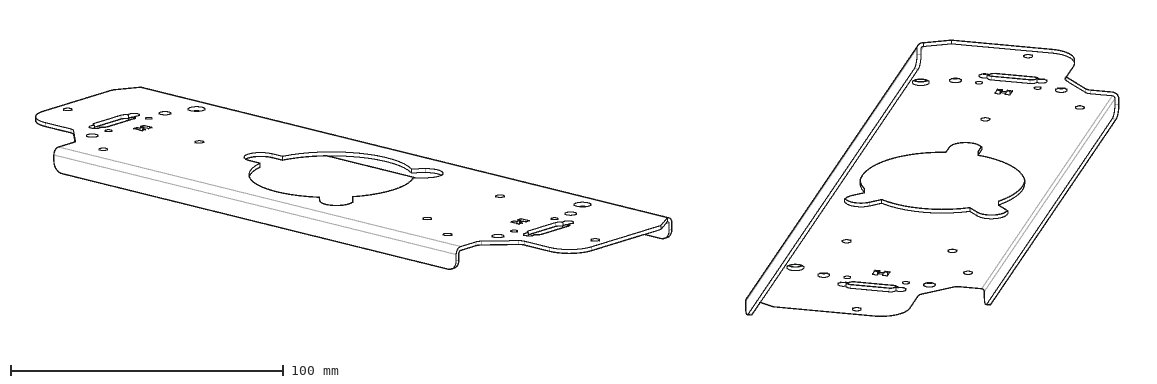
import cadquery as cq

LENGTH = 270.0
WIDTH = 84.0
HEIGHT = 9.0
SHEET = 1.5
INNER_BEND = 1.0
OUTER_BEND = INNER_BEND + SHEET

REAR_FLANGE_LENGTH = 260.0
FRONT_FLANGE_LENGTH = 198.2
REAR_CHAMFER_DEPTH = 9.2
EAR_FRONT_Y = -18.5
EAR_RADIUS = 10.8
SHOULDER_SLOPE_RUN = 11.3
SHOULDER_RADIUS = 3.0
FLANGE_CORNER_RADIUS = 4.0

PICK_MARGIN = 0.3

OPENING_DIAMETER = 60.5
LOBE_WIDTH = 12.2
LOBE_REACH = 34.8
LOBE_ANGLES = (45, 180, 315)

MIRRORED_HOLES = (
    (6.2, ((95.0, 31.9),)),
    (4.3, ((100.0, 20.0), (100.0, -20.0))),
    (2.55, ((100.0, 11.0), (100.0, -11.0))),
    (3.2, ((130.0, 0), (84.8, -30.8))),
)

MOUNT_DIAMETER = 3.2
MOUNT_X = 65.0
MOUNT_Y = 20.0
MOUNT_POINTS = ((-MOUNT_X, 0), (MOUNT_X, MOUNT_Y), (MOUNT_X, -MOUNT_Y))

SLOT_X = 107.0
SLOT_WIDTH = 6.5
SLOT_LENGTH = 19.0
SLOT_CORNER_RADIUS = 2.2
RELIEF_RADIUS = 2.0
RELIEF_Y = 10.8

H_X = 93.0
H_WIDTH = 4.0
H_LENGTH = 5.7
H_BAR = 2.0
H_WEB = 1.4


def bent_sheet():
    """Full-length channel: a flat web with both long edges bent down."""
    outer = (
        cq.Workplane("XY")
        .box(LENGTH, WIDTH, HEIGHT, centered=(True, True, False))
        .edges("|X and >Z")
        .fillet(OUTER_BEND)
    )
    inner = (
        cq.Workplane("XY")
        .box(LENGTH, WIDTH - 2 * SHEET, HEIGHT - SHEET, centered=(True, True, False))
        .edges("|X and >Z")
        .fillet(INNER_BEND)
    )
    return outer.cut(inner)


def round_upright_edges(body, x, y, radius):
    """Fillet the vertical edges standing at (x, y) and (-x, y)."""
    for edge_x in (x, -x):
        near = (edge_x - PICK_MARGIN, y - PICK_MARGIN, 0)
        far = (edge_x + PICK_MARGIN, y + PICK_MARGIN, HEIGHT)
        body = body.edges(cq.selectors.BoxSelector(near, far)).edges("|Z").fillet(radius)
    return body


def plan_prism():
    """Vertical prism whose outline trims the channel to shape."""
    end_x = LENGTH / 2
    edge_y = WIDTH / 2
    rear_x = REAR_FLANGE_LENGTH / 2
    front_x = FRONT_FLANGE_LENGTH / 2
    bend_y = edge_y - OUTER_BEND
    ear_x = front_x + SHOULDER_SLOPE_RUN
    slope_end_y = EAR_FRONT_Y - SHOULDER_SLOPE_RUN
    right_side = [
        (rear_x, edge_y),
        (rear_x, bend_y),
        (end_x, bend_y - REAR_CHAMFER_DEPTH),
        (end_x, EAR_FRONT_Y),
        (ear_x, EAR_FRONT_Y),
        (front_x, slope_end_y),
        (front_x, -edge_y),
    ]
    left_side = [(-x, y) for x, y in reversed(right_side)]
    prism = cq.Workplane("XY").polyline(right_side + left_side).close().extrude(HEIGHT)

    prism = round_upright_edges(prism, end_x, EAR_FRONT_Y, EAR_RADIUS)
    prism = round_upright_edges(prism, ear_x, EAR_FRONT_Y, SHOULDER_RADIUS)
    return round_upright_edges(prism, front_x, slope_end_y, SHOULDER_RADIUS)


def flange_envelope():
    """Block whose edge slabs round the lower corners of each flange."""
    web_width = WIDTH - 2 * OUTER_BEND
    envelope = cq.Workplane("XY").box(LENGTH, web_width, HEIGHT, centered=(True, True, False))
    middle_y = (WIDTH - OUTER_BEND) / 2
    for length, y in ((REAR_FLANGE_LENGTH, middle_y), (FRONT_FLANGE_LENGTH, -middle_y)):
        slab = (
            cq.Workplane("XY")
            .box(length, OUTER_BEND, HEIGHT, centered=(True, True, False))
            .edges("|Y and <Z")
            .fillet(FLANGE_CORNER_RADIUS)
            .translate((0, y, 0))
        )
        envelope = envelope.union(slab)
    return envelope


def central_opening():
    """Round opening joined to its radial lobes."""
    tool = cq.Workplane("XY").circle(OPENING_DIAMETER / 2).extrude(HEIGHT)
    lobe = (
        cq.Workplane("XY")
        .center(LOBE_REACH / 2, 0)
        .slot2D(LOBE_REACH + LOBE_WIDTH, LOBE_WIDTH)
        .extrude(HEIGHT)
    )
    for angle in LOBE_ANGLES:
        tool = tool.union(lobe.rotate((0, 0, 0), (0, 0, 1), angle))
    return tool


def round_holes(diameter, points):
    """Cutting cylinders at the given points."""
    return cq.Workplane("XY").pushPoints(points).circle(diameter / 2).extrude(HEIGHT)


def relieved_slot(x):
    """Slot along Y with a smaller round bulge at each end."""
    slot = (
        cq.Workplane("XY")
        .center(x, 0)
        .rect(SLOT_WIDTH, SLOT_LENGTH)
        .extrude(HEIGHT)
        .edges("|Z")
        .fillet(SLOT_CORNER_RADIUS)
    )
    return slot.union(round_holes(2 * RELIEF_RADIUS, [(x, RELIEF_Y), (x, -RELIEF_Y)]))


def h_cutout(x):
    """Two bars along X joined by a narrow web along Y."""
    bar_y = (H_LENGTH - H_BAR) / 2
    web = cq.Workplane("XY").center(x, 0).rect(H_WEB, H_LENGTH).extrude(HEIGHT)
    bars = (
        cq.Workplane("XY")
        .pushPoints([(x, bar_y), (x, -bar_y)])
        .rect(H_WIDTH, H_BAR)
        .extrude(HEIGHT)
    )
    return web.union(bars)


result = bent_sheet().intersect(plan_prism()).intersect(flange_envelope())
result = result.cut(central_opening())
result = result.cut(round_holes(MOUNT_DIAMETER, MOUNT_POINTS))
for hole_diameter, hole_points in MIRRORED_HOLES:
    for side in (1, -1):
        result = result.cut(round_holes(hole_diameter, [(side * x, y) for x, y in hole_points]))
for side in (1, -1):
    result = result.cut(relieved_slot(side * SLOT_X))
    result = result.cut(h_cutout(side * H_X))